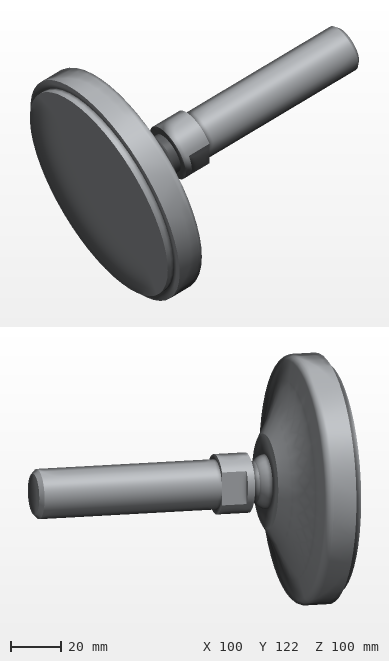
import cadquery as cq
import math

total_length = 122.0

pad_radius = 92.5 / 2
pad_height = 3.0
foot_radius = 100.0 / 2
rim_fillet = 3.0
rim_center_height = 12.5
foot_top = 26.5
foot_top_radius = 19.0
flare_start_slope = 8.0

ball_base_radius = 11.0
neck_radius = 17.0 / 2
neck_start = 31.0
ball_bulge = 0.5

collar_radius = 24.0 / 2
collar_start = 34.0
collar_end = 47.1
flats_start = 37.0
stud_radius = 20.0 / 2
across_flats = 2 * stud_radius
stud_chamfer = 1.7


def rim_point(angle):
    """Point on the rounded rim, with the angle in degrees from the radial direction."""
    turn = math.radians(angle)
    return (
        foot_radius - rim_fillet + rim_fillet * math.cos(turn),
        rim_center_height + rim_fillet * math.sin(turn),
    )


def ball_middle(start, end):
    """Point on the ball surface, bulging outward from the middle of its chord."""
    run = end[0] - start[0]
    rise = end[1] - start[1]
    chord = math.hypot(run, rise)
    return (
        (start[0] + end[0]) / 2 + ball_bulge * rise / chord,
        (start[1] + end[1]) / 2 - ball_bulge * run / chord,
    )


def turned_body():
    """Foot, ball, neck, collar and stud as one profile revolved about Y."""
    rim_side = (foot_radius, rim_center_height)
    rim_edge = rim_point(90 - flare_start_slope)
    rim_middle = rim_point((90 - flare_start_slope) / 2)
    flare_end = (foot_top_radius, foot_top)
    ball_start = (ball_base_radius, foot_top)
    ball_end = (neck_radius, neck_start)
    profile = (
        cq.Workplane("XY")
        .lineTo(pad_radius, 0)
        .lineTo(pad_radius, pad_height)
        .lineTo(foot_radius, pad_height)
        .lineTo(*rim_side)
        .threePointArc(rim_middle, rim_edge)
        .tangentArcPoint(flare_end, relative=False)
        .lineTo(*ball_start)
        .threePointArc(ball_middle(ball_start, ball_end), ball_end)
        .lineTo(neck_radius, collar_start)
        .lineTo(collar_radius, collar_start)
        .lineTo(collar_radius, collar_end)
        .lineTo(stud_radius, collar_end)
        .lineTo(stud_radius, total_length - stud_chamfer)
        .lineTo(stud_radius - stud_chamfer, total_length)
        .lineTo(0, total_length)
        .close()
    )
    return profile.revolve(360, (0, 0, 0), (0, 1, 0))


def wrench_flat_cutter(side):
    """Block that removes the collar beyond one flat on the given X side."""
    depth = collar_radius
    return cq.Workplane("XY").box(
        depth, collar_end - flats_start, 2 * collar_radius, centered=(True, False, True)
    ).translate((side * (across_flats + depth) / 2, flats_start, 0))


result = turned_body()
for side in (-1, 1):
    result = result.cut(wrench_flat_cutter(side))